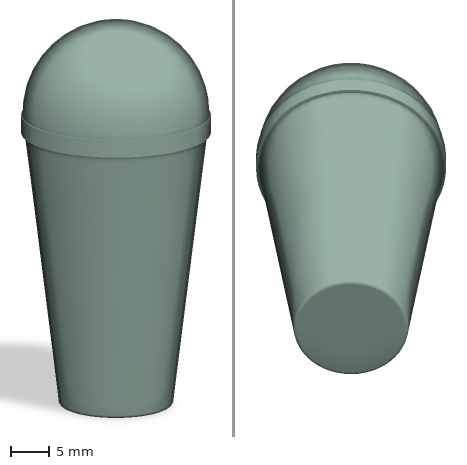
import cadquery as cq
import math

total_height = 52.0
band_diameter = 25.0
band_height = 2.4
dome_height = 12.6
dome_radius = 12.3
grip_top_diameter = 24.1
grip_bottom_diameter = 15.0
bottom_edge_radius = 0.5

band_top = total_height - dome_height
band_bottom = band_top - band_height
dome_center = total_height - dome_radius


def revolve_profile(profile):
    """Turn a closed half profile a full turn about the Z axis."""
    return profile.close().revolve(360, (0, 0, 0), (0, 1, 0))


def make_grip():
    """Tapered grip, narrow end down, with a rounded bottom edge."""
    profile = (
        cq.Workplane("XZ")
        .lineTo(grip_bottom_diameter / 2, 0)
        .lineTo(grip_top_diameter / 2, band_bottom)
        .lineTo(0, band_bottom)
    )
    return revolve_profile(profile).faces("<Z").edges().fillet(bottom_edge_radius)


def make_band():
    """Short cylindrical band between the grip and the dome."""
    return (
        cq.Workplane("XY")
        .workplane(offset=band_bottom)
        .circle(band_diameter / 2)
        .extrude(band_height)
    )


def make_dome():
    """Spherical cap on the band; it ends just below the sphere's widest level."""
    base_radius = math.sqrt(dome_radius**2 - (dome_center - band_top) ** 2)
    diagonal_offset = dome_radius * math.sqrt(0.5)
    profile = (
        cq.Workplane("XZ")
        .moveTo(0, band_top)
        .lineTo(base_radius, band_top)
        .threePointArc((diagonal_offset, dome_center + diagonal_offset), (0, total_height))
    )
    return revolve_profile(profile)


result = make_grip().union(make_band()).union(make_dome())